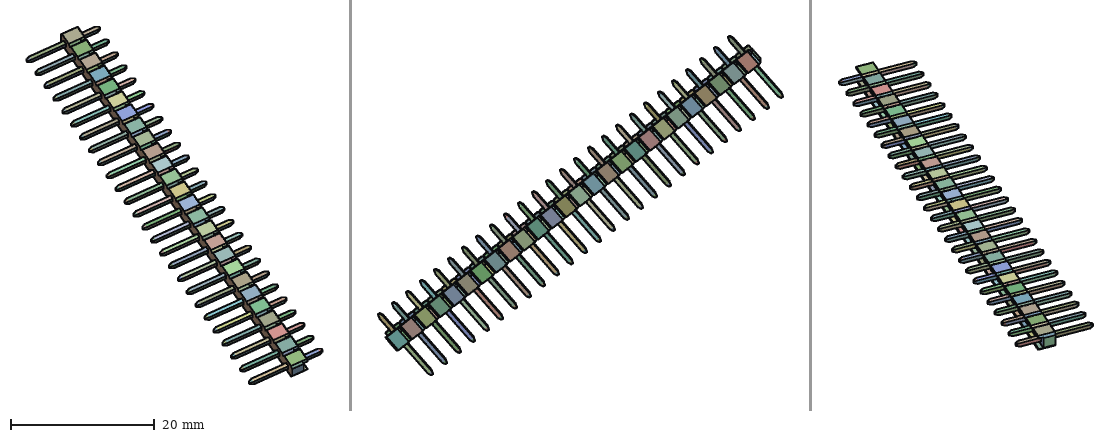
import cadquery as cq

PIN_COUNT = 26
PITCH = 2.54
BODY_HEIGHT = 2.5
BODY_DEPTH = 2.54

BEVEL_WIDTH = 0.3
BEVEL_HEIGHT = 0.4

CHANNEL_DEPTH = 0.7
FLANGE_THICKNESS = 0.32
CHANNEL_HEIGHT = BODY_HEIGHT - 2 * FLANGE_THICKNESS

PIN_WIDTH = 0.64
PIN_FRONT_LENGTH = 6.06
PIN_BACK_LENGTH = 3.0
PIN_OFFSET = -0.1
TIP_WIDTH = 0.3
TIP_LENGTH = 0.53

ROW_LENGTH = PIN_COUNT * PITCH
FRONT_Y = -BODY_DEPTH / 2
BACK_Y = BODY_DEPTH / 2


def segment_center(index):
    """X position of one segment, with the row centred on the origin."""
    return (index - (PIN_COUNT - 1) / 2) * PITCH


def make_segment(center_x):
    """One octagonal body segment, running from the front face to the back face."""
    half_pitch = PITCH / 2
    half_height = BODY_HEIGHT / 2
    half_flat = half_pitch - BEVEL_WIDTH
    shoulder = half_height - BEVEL_HEIGHT
    outline = [
        (-half_flat, half_height),
        (half_flat, half_height),
        (half_pitch, shoulder),
        (half_pitch, -shoulder),
        (half_flat, -half_height),
        (-half_flat, -half_height),
        (-half_pitch, -shoulder),
        (-half_pitch, shoulder),
    ]
    segment = cq.Workplane("XZ").polyline(outline).close().extrude(-BODY_DEPTH)
    return segment.translate((center_x, FRONT_Y, 0))


def make_channel():
    """Block removed from the back face along the whole row."""
    channel = cq.Workplane("XY").box(ROW_LENGTH, CHANNEL_DEPTH, CHANNEL_HEIGHT)
    return channel.translate((0, BACK_Y - CHANNEL_DEPTH / 2, 0))


def make_body():
    """All segments joined in a row, with the channel cut into the back."""
    segments = [make_segment(x).val() for x in segment_centers]
    row = segments[0].fuse(*segments[1:]).clean()
    return cq.Workplane(row).cut(make_channel())


def make_tip(shank_end_y, direction):
    """Tapered pin end; direction is +1 toward +Y and -1 toward -Y."""
    return (
        cq.Workplane("XZ", origin=(0, shank_end_y, 0))
        .rect(PIN_WIDTH, PIN_WIDTH)
        .workplane(offset=-direction * TIP_LENGTH)
        .rect(TIP_WIDTH, TIP_WIDTH)
        .loft(ruled=True)
    )


def make_pin():
    """One complete pin at X = 0."""
    shank_front = FRONT_Y - PIN_FRONT_LENGTH + TIP_LENGTH
    shank_back = BACK_Y + PIN_BACK_LENGTH - TIP_LENGTH
    shank_length = shank_back - shank_front
    shank = cq.Workplane("XY").box(PIN_WIDTH, shank_length, PIN_WIDTH)
    shank = shank.translate((0, (shank_front + shank_back) / 2, 0))
    return shank.union(make_tip(shank_front, -1)).union(make_tip(shank_back, 1))


segment_centers = [segment_center(index) for index in range(PIN_COUNT)]

body = make_body()
pin = make_pin()
pins = [pin.translate((x + PIN_OFFSET, 0, 0)).val() for x in segment_centers]

fused = body.val().fuse(*pins)
result = cq.Workplane(fused.Solids()[0])